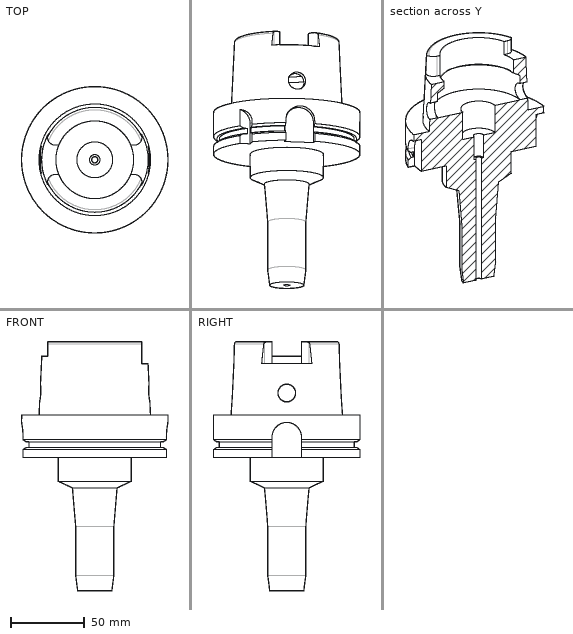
import cadquery as cq

overall_height = 170.0
shank_height = 50.0
flange_height = 29.0
tip_z = shank_height - overall_height

shank_base_radius = 38.0
shank_top_radius = 35.7
rim_fillet = 1.7
bore_radius = 26.5
bore_depth = 20.0
undercut_radius = 31.5
undercut_shoulder = 2.9
bore_floor_z = 8.8
clamp_hole_radius = 6.0
clamp_hole_z = 15.0

key_width = 20.0
key_corner_radius = 5.1
rim_flat_x = 32.1
left_key_depth = 9.9
right_key_depth = 15.0

flange_radius = 50.0
groove_radius = 46.0
groove_chamfer_radius = 47.8
groove_chamfer_height = 1.5
groove_top_z = -16.8
groove_bottom_z = -23.6
slot_width = 20.0
slot_top_z = -5.1
slot_floor_x = 44.0
notch_floor_x = 31.6
notch_center_y = 41.5

neck_radius = 25.0
neck_end_z = -45.2
nose_taper_start_z = -49.8
nose_taper_start_radius = 15.3
nose_straight_start_z = -76.2
nose_radius = 13.1
tip_taper_start_z = -109.5
tip_radius = 11.7

tube_seat_radius = 12.2
tube_seat_depth = 20.4
feed_radius = 3.5
feed_depth = 17.0
coolant_radius = 2.0

clearance = 8.5


def turned_body():
    """Revolve the outer outline, from the shank rim down to the tip."""
    outline = [
        (0, shank_height),
        (shank_top_radius, shank_height),
        (shank_base_radius, 0),
        (flange_radius, 0),
        (flange_radius, groove_top_z),
        (groove_chamfer_radius, groove_top_z - groove_chamfer_height),
        (groove_radius, groove_top_z - groove_chamfer_height),
        (groove_radius, groove_bottom_z + groove_chamfer_height),
        (groove_chamfer_radius, groove_bottom_z + groove_chamfer_height),
        (flange_radius, groove_bottom_z),
        (flange_radius, -flange_height),
        (neck_radius, -flange_height),
        (neck_radius, neck_end_z),
        (nose_taper_start_radius, nose_taper_start_z),
        (nose_radius, nose_straight_start_z),
        (nose_radius, tip_taper_start_z),
        (tip_radius, tip_z),
        (0, tip_z),
    ]
    body = cq.Workplane("XZ").polyline(outline).close().revolve(360, (0, 0), (0, 1))
    return body.faces(">Z").edges().fillet(rim_fillet)


def axial_cavity():
    """Undercut clamping bore, tube seat and coolant passage as one revolved tool."""
    undercut_z = shank_height - bore_depth
    seat_z = bore_floor_z - tube_seat_depth
    feed_z = seat_z - feed_depth
    outline = [
        (0, shank_height + clearance),
        (bore_radius, shank_height + clearance),
        (bore_radius, undercut_z),
        (undercut_radius, undercut_z - undercut_shoulder),
        (undercut_radius, bore_floor_z),
        (tube_seat_radius, bore_floor_z),
        (tube_seat_radius, seat_z),
        (feed_radius, seat_z),
        (feed_radius, feed_z),
        (coolant_radius, feed_z),
        (coolant_radius, tip_z - clearance),
        (0, tip_z - clearance),
    ]
    return cq.Workplane("XZ").polyline(outline).close().revolve(360, (0, 0), (0, 1))


def rim_key(side, depth):
    """Keyway at the rim that flares through round corners into a flat across the shank."""
    half_width = key_width / 2
    flare_y = half_width + key_corner_radius
    flare_x = rim_flat_x - key_corner_radius
    return (
        cq.Workplane("XY", origin=(0, 0, shank_height - depth))
        .moveTo(0, -half_width)
        .lineTo(side * flare_x, -half_width)
        .radiusArc((side * rim_flat_x, -flare_y), side * key_corner_radius)
        .lineTo(side * rim_flat_x, -flange_radius)
        .lineTo(side * flange_radius, -flange_radius)
        .lineTo(side * flange_radius, flange_radius)
        .lineTo(side * rim_flat_x, flange_radius)
        .lineTo(side * rim_flat_x, flare_y)
        .radiusArc((side * flare_x, half_width), side * key_corner_radius)
        .lineTo(0, half_width)
        .close()
        .extrude(depth + clearance)
    )


def flange_slot(side, floor_x, center_y):
    """Round-topped slot, open at the flange underside, cut along X down to a flat floor."""
    half_width = slot_width / 2
    spring_z = slot_top_z - half_width
    return (
        cq.Workplane("YZ", origin=(side * floor_x, 0, 0))
        .moveTo(center_y - half_width, -flange_height)
        .lineTo(center_y - half_width, spring_z)
        .threePointArc((center_y, slot_top_z), (center_y + half_width, spring_z))
        .lineTo(center_y + half_width, -flange_height)
        .close()
        .extrude(side * (flange_radius - floor_x + clearance))
    )


def clamp_holes():
    """Cross hole along X through both shank walls."""
    return (
        cq.Workplane("YZ", origin=(0, 0, clamp_hole_z))
        .circle(clamp_hole_radius)
        .extrude(flange_radius, both=True)
    )


result = turned_body().cut(axial_cavity()).cut(clamp_holes())
for side, key_depth in ((-1, left_key_depth), (1, right_key_depth)):
    result = result.cut(rim_key(side, key_depth))
    result = result.cut(flange_slot(side, slot_floor_x, 0))
result = result.cut(flange_slot(-1, notch_floor_x, notch_center_y))